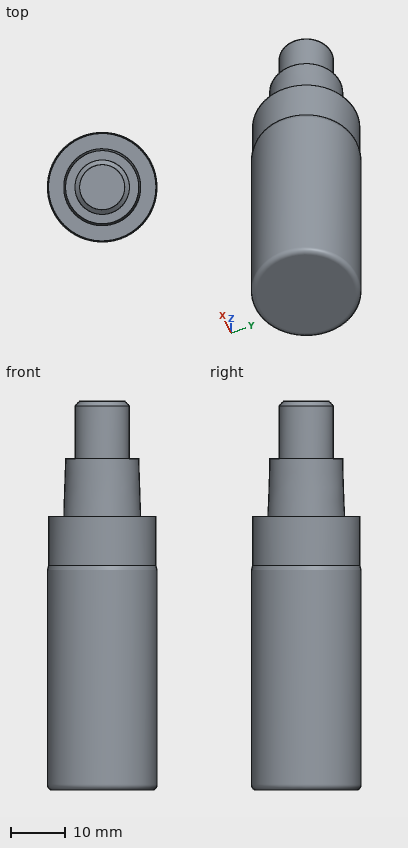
import cadquery as cq

total_height = 71.0
body_height = 41.05
collar_top = 50.0
taper_top = 60.5

body_radius = 10.0
collar_radius = 9.8
taper_bottom_radius = 7.0
taper_top_radius = 6.7
stud_radius = 5.0

body_bottom_fillet = 1.0
body_top_bevel_height = 0.9
stud_chamfer = 0.85


def make_body():
    """Round body with a rounded bottom edge and a steep bevel up to the collar radius."""
    bevel_start = body_height - body_top_bevel_height
    body = (
        cq.Workplane("XZ")
        .lineTo(body_radius, 0)
        .lineTo(body_radius, bevel_start)
        .lineTo(collar_radius, body_height)
        .lineTo(0, body_height)
        .close()
        .revolve(360, (0, 0, 0), (0, 1, 0))
    )
    return body.faces("<Z").edges().fillet(body_bottom_fillet)


def make_spindle():
    """Stepped spindle on top of the body: collar, tapered shoulder and chamfered stud."""
    spindle = (
        cq.Workplane("XZ")
        .moveTo(0, body_height)
        .lineTo(collar_radius, body_height)
        .lineTo(collar_radius, collar_top)
        .lineTo(taper_bottom_radius, collar_top)
        .lineTo(taper_top_radius, taper_top)
        .lineTo(stud_radius, taper_top)
        .lineTo(stud_radius, total_height)
        .lineTo(0, total_height)
        .close()
        .revolve(360, (0, 0, 0), (0, 1, 0))
    )
    return spindle.faces(">Z").edges().chamfer(stud_chamfer)


body = make_body()
spindle = make_spindle()
result = cq.Compound.makeCompound([body.val(), spindle.val()])